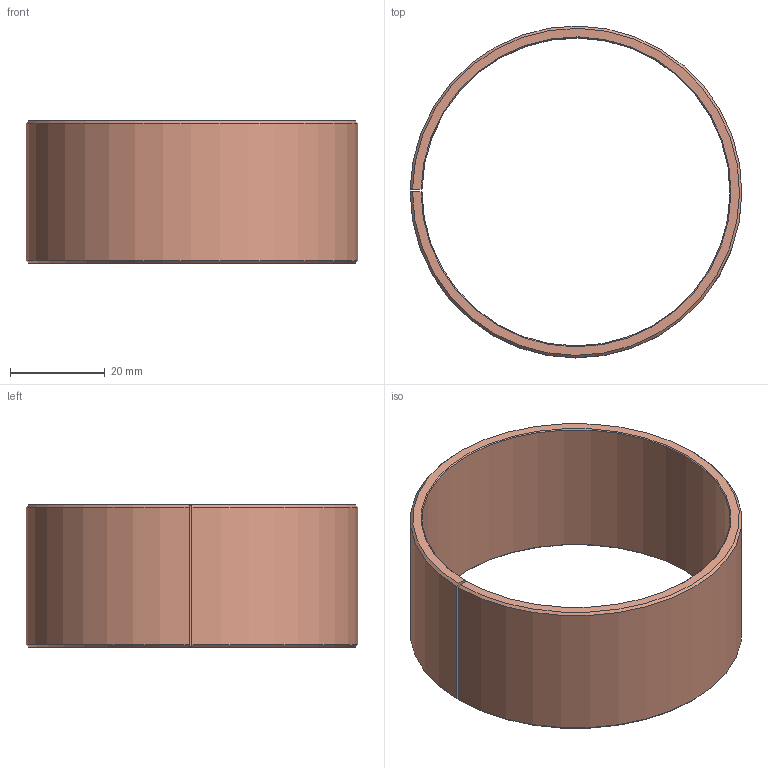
import cadquery as cq

outer_diameter = 70.0
wall_thickness = 2.5
length = 30.0
outer_chamfer = 0.5
inner_chamfer = 0.2
split_angle = 1.0

outer_radius = outer_diameter / 2
inner_radius = outer_radius - wall_thickness


def wall_section():
    """Wall cross-section on the -X side of the axis, chamfered at all four corners."""
    end_z = length / 2
    outer_end_x = -(outer_radius - outer_chamfer)
    inner_end_x = -(inner_radius + inner_chamfer)
    outer_edge_z = end_z - outer_chamfer
    inner_edge_z = end_z - inner_chamfer
    corners = [
        (inner_end_x, -end_z),
        (outer_end_x, -end_z),
        (-outer_radius, -outer_edge_z),
        (-outer_radius, outer_edge_z),
        (outer_end_x, end_z),
        (inner_end_x, end_z),
        (-inner_radius, inner_edge_z),
        (-inner_radius, -inner_edge_z),
    ]
    return cq.Workplane("XZ").polyline(corners).close()


def split_bushing():
    """Sweep the wall from -X anticlockwise about Z, stopping short to leave the open joint."""
    return wall_section().revolve(360 - split_angle, (0, 0), (0, 1))


result = split_bushing()